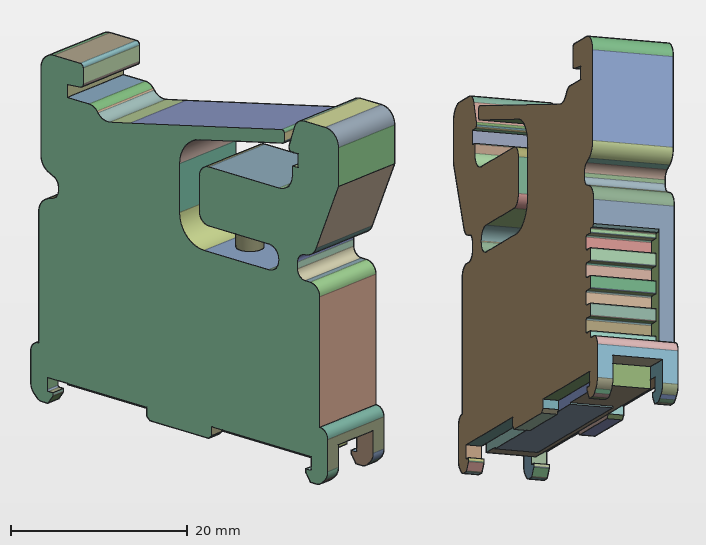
import cadquery as cq
import math

length = 46.0
thickness = 9.8
height = 43.5

base_length = 44.4
lip = 1.2
body_left = lip
body_right = base_length - lip
lip_z = 7.0
underside_z = 3.15
side_wall = 1.9
middle_width = thickness - 2 * side_wall

toe_inner_x = 2.5
toe_tip_x = 3.3
toe_hook_z = 1.45
toe_round = 0.2
sole_round = 1.0
heel_round = 1.65

tab_width = 9.7
tab_z = 1.6
tab_chamfer = 0.45

big_round = 2.0
notch_round = 1.15
small_round = 0.45

shoulder_round = 1.43
left_notch_x = 4.15
right_notch_x = 39.9

left_hook_x = 1.5
left_hook_z = 42.35
left_hook_tip_x = 7.85
left_slot_x = 5.48
left_slot_floor_z = 37.75

lever_root_x = 14.85
lever_root_z = 36.9
lever_slope = 0.209
lever_tip_x = 37.9
lever_height = 1.65
lever_tip_round = 0.3
slot_left_x = 22.27
slot_right_x = 37.1
slot_round = 3.7
slot_end_round = 1.5
slot_floor_z = 24.2

arm_left_x = 25.2
arm_bottom_z = 27.35
arm_top_z = 34.45
arm_round = 1.43
hook_inner_x = 39.1
groove_x = 39.95
groove_bottom_z = 37.65
groove_top_z = 39.3

pin_x = 29.1
pin_y = -0.6
pin_diameter = 3.2
pin_overlap = 0.45

pocket_top_z = 19.75
pocket_mouth_chamfer = 0.3
rib_face_depth = 0.95
rib_depth = 1.43
groove_height = 1.7
groove_pitch = 3.2
groove_count = 4
first_groove_z = 7.82
rib_round = 0.1
root_round = 0.2

block_margin = 3.9
block_z = 2.05
foot_notch_z = 4.65

plate_left_x = 13.6
plate_right_x = 37.6
plate_drop = 0.2
plate_setback = 0.87

TOUCHING = 4.6e-07


def lever_top(x):
    """Height of the lever's upper face."""
    return lever_root_z + lever_slope * (x - lever_root_x)


def toward(start, end, distance):
    """Point at a distance from start along the line to end."""
    span = math.dist(start, end)
    return tuple(a + (b - a) * distance / span for a, b in zip(start, end))


def rounded_outline(corners):
    """Closed XZ outline from (x, z, radius) corners, each radius rounded tangentially."""
    pieces = []
    for i, (x, z, radius) in enumerate(corners):
        corner = (x, z)
        before = corners[i - 1][:2]
        after = corners[(i + 1) % len(corners)][:2]
        if radius == 0:
            pieces.append((corner, None, corner))
            continue
        turn_in = math.atan2(before[1] - z, before[0] - x)
        turn_out = math.atan2(after[1] - z, after[0] - x)
        half_angle = math.acos(math.cos(turn_in - turn_out)) / 2
        reach = radius / math.tan(half_angle)
        start = toward(corner, before, reach)
        end = toward(corner, after, reach)
        chord_middle = tuple((a + b) / 2 for a, b in zip(start, end))
        crown = toward(corner, chord_middle, radius / math.sin(half_angle) - radius)
        pieces.append((start, crown, end))

    position = pieces[-1][2]
    outline = cq.Workplane("XZ").moveTo(*position)
    for start, crown, end in pieces:
        if math.dist(position, start) > TOUCHING:
            outline = outline.lineTo(*start)
        if crown:
            outline = outline.threePointArc(crown, end)
        position = end
    return outline.close()


def box(x_range, y_range, z_range):
    """Box spanning the given ranges."""
    sizes = [high - low for low, high in (x_range, y_range, z_range)]
    return cq.Workplane("XY").box(*sizes, centered=False).translate((x_range[0], y_range[0], z_range[0]))


def foot_corners():
    """Left foot, from the step in the body side to the underside of the body."""
    return [
        (body_left, lip_z, 0),
        (0, lip_z, lip),
        (0, 1.2, heel_round),
        (1.25, 0, sole_round),
        (2.6, 0, toe_round),
        (toe_tip_x, 1.05, toe_round),
        (toe_tip_x, toe_hook_z, 0),
        (toe_inner_x, toe_hook_z, toe_round),
        (toe_inner_x, underside_z, 0),
    ]


def tab_corners():
    """Left half of the centre tab."""
    tab_left = (base_length - tab_width) / 2
    return [
        (tab_left, underside_z, 0),
        (tab_left, tab_z + tab_chamfer, 0),
        (tab_left + tab_chamfer, tab_z, 0),
    ]


def mirrored(corners):
    """The same corners mirrored about the middle of the base, in reverse order."""
    return [(base_length - x, z, radius) for x, z, radius in reversed(corners)]


def right_side_corners():
    """Waist notch, clamping hook, arm and slot, going up the right side to the lever tip."""
    return [
        (body_right, slot_floor_z, shoulder_round),
        (right_notch_x, slot_floor_z, notch_round),
        (right_notch_x, 27.15, notch_round),
        (42.3, 27.55, 1.8),
        (length, 36.8, 0),
        (length, height, big_round),
        (39.8, height, 1.5),
        (38.55, 39.8, small_round),
        (38.75, groove_top_z, 0.25),
        (groove_x, groove_top_z, 0),
        (groove_x, groove_bottom_z, 0),
        (hook_inner_x, groove_bottom_z, 0.15),
        (hook_inner_x, arm_top_z, big_round),
        (arm_left_x, arm_top_z, arm_round),
        (arm_left_x, arm_bottom_z, arm_round),
        (slot_right_x, arm_bottom_z, slot_end_round),
        (slot_right_x, slot_floor_z, slot_end_round),
        (slot_left_x, slot_floor_z, slot_round),
        (slot_left_x, lever_top(slot_left_x) - lever_height, slot_round),
        (lever_tip_x, lever_top(lever_tip_x) - lever_height, lever_tip_round),
        (lever_tip_x, lever_top(lever_tip_x), lever_tip_round),
    ]


def left_side_corners():
    """Lever root, left hook and waist notch, going down the left side."""
    return [
        (lever_root_x, lever_root_z, 0),
        (10.75, 36.1, 1.85),
        (9.5, left_slot_floor_z, 1.5),
        (left_slot_x, left_slot_floor_z, 0),
        (left_slot_x, 39.3, 0),
        (left_hook_tip_x, 39.5, small_round),
        (left_hook_tip_x, left_hook_z, small_round),
        (left_hook_x, left_hook_z, big_round),
        (left_hook_x, 28.55, big_round),
        (left_notch_x, 27.35, notch_round),
        (left_notch_x, 25.25, notch_round),
        (body_left, 24.35, big_round),
    ]


def housing():
    """Full-thickness housing centred on Y = 0."""
    base = foot_corners() + tab_corners()
    corners = base + mirrored(base) + right_side_corners() + left_side_corners()
    return rounded_outline(corners).extrude(thickness / 2, both=True)


def pin():
    """Vertical pin between the slot floor and the arm."""
    return (
        cq.Workplane("XY", origin=(pin_x, pin_y, slot_floor_z - pin_overlap))
        .circle(pin_diameter / 2)
        .extrude(arm_bottom_z - slot_floor_z + 2 * pin_overlap)
    )


def grip_pocket():
    """Cutter for the pocket and the grooves that leave horizontal ribs in its floor."""
    rib_x = body_left + rib_face_depth
    groove_floor_x = rib_x + rib_depth
    corners = [(0, lip_z, 0), (rib_x, lip_z, root_round)]
    for i in range(groove_count):
        bottom = first_groove_z + i * groove_pitch
        top = bottom + groove_height
        corners += [
            (rib_x, bottom, rib_round),
            (groove_floor_x, bottom, root_round),
            (groove_floor_x, top, root_round),
            (rib_x, top, rib_round),
        ]
    corners += [
        (rib_x, pocket_top_z, rib_round),
        (body_left + pocket_mouth_chamfer, pocket_top_z, 0),
        (body_left, pocket_top_z + pocket_mouth_chamfer, 0),
        (0, pocket_top_z + pocket_mouth_chamfer, 0),
    ]
    depth = thickness - side_wall
    return rounded_outline(corners).extrude(depth).translate((0, thickness / 2, 0))


def middle_base():
    """Block between the two walls, with the thin plate under it."""
    half = middle_width / 2
    block = box((block_margin, base_length - block_margin), (-half, half), (block_z, foot_notch_z))
    plate = box((plate_left_x, plate_right_x), (-half + plate_setback, half), (block_z - plate_drop, block_z))
    return block.union(plate)


foot_gap = box((0, base_length), (-middle_width / 2, middle_width / 2), (0, foot_notch_z))

result = housing().union(pin()).cut(foot_gap).union(middle_base()).cut(grip_pocket())